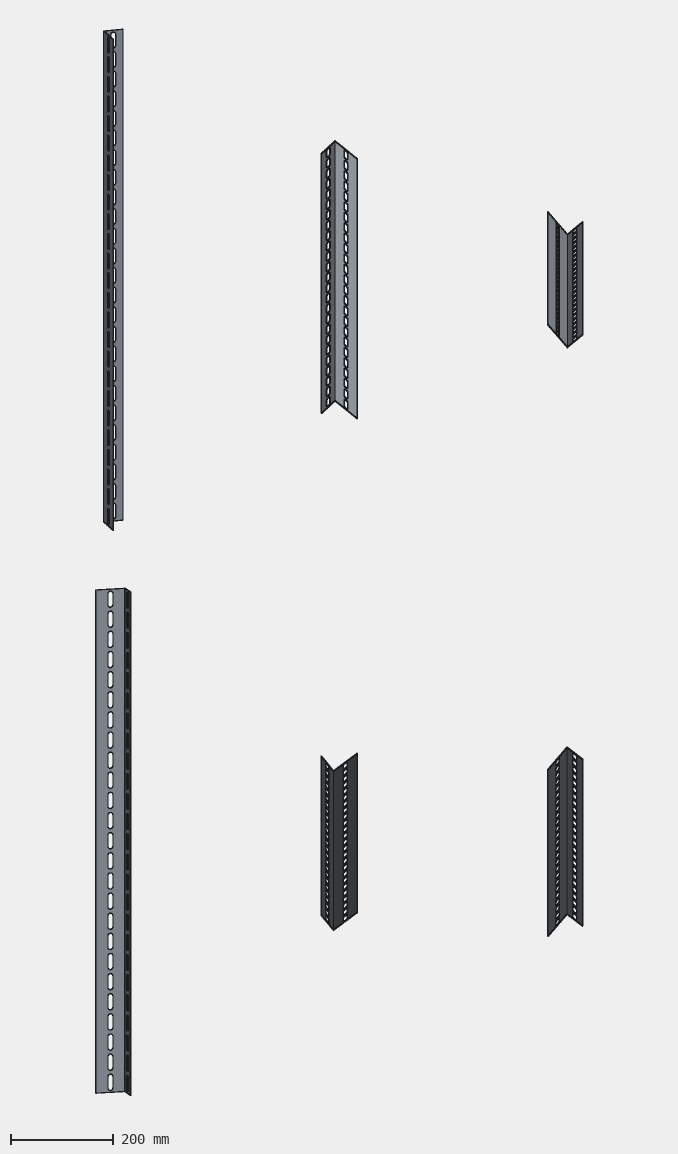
import cadquery as cq

length = 1000.0
front_width = 60.0
side_width = 40.0
thickness = 1.5

slot_pitch = 40.0
slot_length = 32.0
slot_width = 10.0
slot_count = round(length / slot_pitch)


def angle_bar():
    """L-shaped bar with its outer corner edge on the Z axis."""
    front_flange = cq.Workplane("XY").box(front_width, thickness, length, centered=False)
    side_flange = cq.Workplane("XY").box(thickness, side_width, length, centered=False)
    return front_flange.union(side_flange)


def slot_row(plane, across, depth):
    """Cutters for round-ended slots, evenly spaced along Z at the given place across a flange.

    The depth is signed along the normal of the plane.
    """
    centers = [(across, (i + 0.5) * slot_pitch) for i in range(slot_count)]
    return (
        cq.Workplane(plane)
        .pushPoints(centers)
        .slot2D(slot_length, slot_width, 90)
        .extrude(depth)
    )


front_slots = slot_row("XZ", front_width / 2, -thickness)
side_slots = slot_row("YZ", side_width / 2, thickness)

result = angle_bar().cut(front_slots).cut(side_slots)